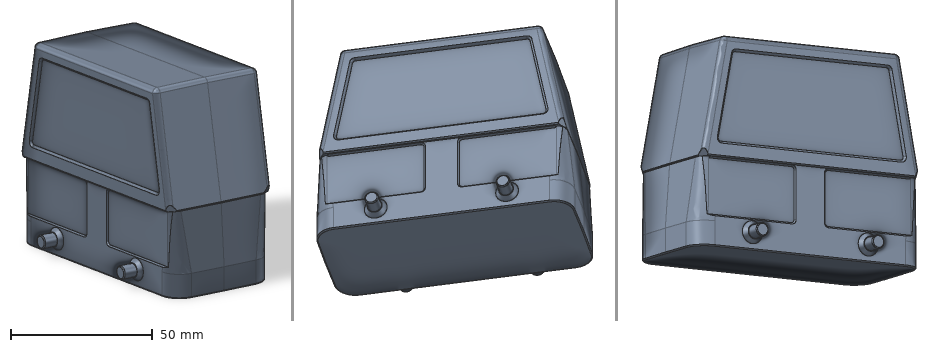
import cadquery as cq

LENGTH = 93.5
HEIGHT = 76.0
PIN_SPAN = 57.2
END_CROWN = 0.3

LOWER_WIDTH = 43.0
FOOT_HEIGHT = 9.1
LEDGE_Z = 32.1
LEDGE_LENGTH = 89.95
FOOT_CORNER_RADIUS = 7.5
LEDGE_CORNER_RADIUS = 4.1
FOOT_CHAMFER = 0.5

UPPER_WIDTH = 45.1
ROOF_LENGTH = 73.1
ROOF_CROWN = 0.3
UPPER_EDGE_RADIUS = 2.0
LIP_CHAMFER = 0.5

TRIM_X = 2.6
TRIM_Y = 4.2
TRIM_Z = 7.0
TRIM_BLOCK = 18.7

PANEL_BOTTOM_Z = 36.9
PANEL_TOP_Z = 71.25
PANEL_BOTTOM_LENGTH = 78.35
PANEL_TOP_LENGTH = 65.3
PANEL_CORNER_RADIUS = 2.0
PANEL_DEPTH = 0.8

RECESS_DEPTH = 0.6
RECESS_BOTTOM_Z = 10.8
RECESS_INNER_X = 5.8
RECESS_TURN_X = 41.1
FLOOR_FOOT_RADIUS = 5.2
FLOOR_LEDGE_RADIUS = 3.55
FLOOR_END_CLEARANCE = 0.3
RECESS_CORNER_RADIUS = 1.8

PIN_X = 23.75
PIN_Z = 6.4
PIN_DIAMETER = 5.0
PIN_TIP_CHAMFER = 0.4
PIN_CONE_BASE_DIAMETER = 8.2
PIN_CONE_TIP_DIAMETER = 5.3
PIN_CONE_LENGTH = 1.6

WALL_TAPER = 45.0
SIDES = (-1, 1)


def crowned_outline(length, width, z):
    """Rectangle whose two ends are folded slightly outward along the middle."""
    end = length / 2
    side_end = end - END_CROWN
    half = width / 2
    points = [(end, 0), (side_end, half), (-side_end, half), (-end, 0), (-side_end, -half), (side_end, -half)]
    return cq.Workplane("XY", origin=(0, 0, z)).polyline(points).close()


def rounded_outline(length, width, radius, z):
    """Crowned rectangle wire with rounded corners."""
    face = cq.Face.makeFromWires(crowned_outline(length, width, z).val())
    half = width / 2
    corners = [v for v in face.Vertices() if abs(abs(v.Y) - half) < radius / 2]
    return face.fillet2D(radius, corners).outerWire()


def skirt(width, foot_radius, ledge_radius, end_offset=0.0):
    """Tapered block from the foot up to the ledge, with corners that tighten on the way."""
    foot_wire = rounded_outline(LENGTH + 2 * end_offset, width, foot_radius, FOOT_HEIGHT)
    ledge_wire = rounded_outline(LEDGE_LENGTH + 2 * end_offset, width, ledge_radius, LEDGE_Z)
    return cq.Workplane(cq.Solid.makeLoft([foot_wire, ledge_wire], True))


def lower_body():
    foot_wire = rounded_outline(LENGTH, LOWER_WIDTH, FOOT_CORNER_RADIUS, 0)
    foot = cq.Workplane(cq.Solid.extrudeLinear(foot_wire, [], cq.Vector(0, 0, FOOT_HEIGHT)))
    foot = foot.faces("<Z").edges().chamfer(FOOT_CHAMFER)
    return foot.union(skirt(LOWER_WIDTH, FOOT_CORNER_RADIUS, LEDGE_CORNER_RADIUS))


def front_recess():
    """Cutter for the front recess at +X, running out past the end of the body."""
    half_width = LOWER_WIDTH / 2
    outside_x = LENGTH / 2 + RECESS_CORNER_RADIUS
    height = LEDGE_Z - RECESS_BOTTOM_Z
    panel = (
        cq.Sketch()
        .push([((RECESS_INNER_X + outside_x) / 2, RECESS_BOTTOM_Z + height / 2)])
        .rect(outside_x - RECESS_INNER_X, height)
        .reset()
        .vertices("<X")
        .fillet(RECESS_CORNER_RADIUS)
    )
    pocket = front_plane(half_width).placeSketch(panel).extrude(-RECESS_DEPTH, taper=WALL_TAPER)

    end_bottom_z = RECESS_BOTTOM_Z + RECESS_DEPTH
    end_block = cq.Workplane("XY").box(
        outside_x - RECESS_TURN_X, half_width, LEDGE_Z - end_bottom_z, centered=False
    )
    end_block = end_block.translate((RECESS_TURN_X, -half_width, end_bottom_z))
    floor_width = LOWER_WIDTH - 2 * RECESS_DEPTH
    floor = skirt(floor_width, FLOOR_FOOT_RADIUS, FLOOR_LEDGE_RADIUS, FLOOR_END_CLEARANCE)
    return pocket.union(end_block.cut(floor))


def upper_body():
    wires = [
        crowned_outline(LEDGE_LENGTH, UPPER_WIDTH, LEDGE_Z).val(),
        crowned_outline(ROOF_LENGTH, UPPER_WIDTH, HEIGHT).val(),
    ]
    body = cq.Workplane(cq.Solid.makeLoft(wires, True))
    half = UPPER_WIDTH / 2
    gable = (
        cq.Workplane("YZ")
        .polyline(
            [
                (-half, LEDGE_Z),
                (-half, HEIGHT - ROOF_CROWN),
                (0, HEIGHT),
                (half, HEIGHT - ROOF_CROWN),
                (half, LEDGE_Z),
            ]
        )
        .close()
        .extrude(LENGTH / 2, both=True)
    )
    body = body.intersect(gable)
    body = body.edges("not <Z").edges("not >>Y[2]").fillet(UPPER_EDGE_RADIUS)
    body = body.faces("<Z").edges("|X").chamfer(LIP_CHAMFER)
    for x_side in SIDES:
        for y_side in SIDES:
            body = body.cut(corner_trim(x_side, y_side))
    return body


def corner_trim(x_side, y_side):
    """Block that slices a bottom corner off the upper body along a sloped plane."""
    origin = (x_side * (LEDGE_LENGTH / 2 - TRIM_X), y_side * UPPER_WIDTH / 2, LEDGE_Z)
    normal = (x_side / TRIM_X, y_side / TRIM_Y, -1 / TRIM_Z)
    return cq.Workplane(cq.Plane(origin=origin, normal=normal)).rect(TRIM_BLOCK, TRIM_BLOCK).extrude(TRIM_BLOCK)


def front_panel():
    """Cutter for the large trapezoid panel on the upper front."""
    half_top = PANEL_TOP_LENGTH / 2
    half_bottom = PANEL_BOTTOM_LENGTH / 2
    panel = (
        cq.Sketch()
        .polygon(
            [
                (-half_bottom, PANEL_BOTTOM_Z),
                (half_bottom, PANEL_BOTTOM_Z),
                (half_top, PANEL_TOP_Z),
                (-half_top, PANEL_TOP_Z),
                (-half_bottom, PANEL_BOTTOM_Z),
            ]
        )
        .vertices()
        .fillet(PANEL_CORNER_RADIUS)
    )
    return front_plane(UPPER_WIDTH / 2).placeSketch(panel).extrude(-PANEL_DEPTH, taper=WALL_TAPER)


def front_pin():
    """Locking pin at +X on the front, with a cone at its root."""
    root_y = LOWER_WIDTH / 2
    tip_y = PIN_SPAN / 2
    root_depth = root_y - RECESS_DEPTH
    cone_base = PIN_CONE_BASE_DIAMETER / 2
    cone_tip = PIN_CONE_TIP_DIAMETER / 2
    pin = PIN_DIAMETER / 2
    profile = [
        (0, -root_depth),
        (cone_base, -root_depth),
        (cone_base, -root_y),
        (cone_tip, -root_y - PIN_CONE_LENGTH),
        (pin, -root_y - PIN_CONE_LENGTH),
        (pin, PIN_TIP_CHAMFER - tip_y),
        (pin - PIN_TIP_CHAMFER, -tip_y),
        (0, -tip_y),
    ]
    turned = cq.Workplane("XY").polyline(profile).close().revolve(360, (0, 0, 0), (0, 1, 0))
    return turned.translate((PIN_X, 0, PIN_Z))


def front_plane(distance):
    """Workplane parallel to XZ, facing the front at the given distance from the middle."""
    return cq.Workplane("XZ", origin=(0, -distance, 0))


def at_all_corners(feature):
    """Four mirrored copies of a feature made at +X on the front."""
    both_ends = feature.union(feature.mirror("YZ"))
    return both_ends.union(both_ends.mirror("XZ"))


result = lower_body().cut(at_all_corners(front_recess()))
result = result.union(upper_body())
panel_cutter = front_panel()
result = result.cut(panel_cutter).cut(panel_cutter.mirror("XZ"))
result = result.union(at_all_corners(front_pin()))